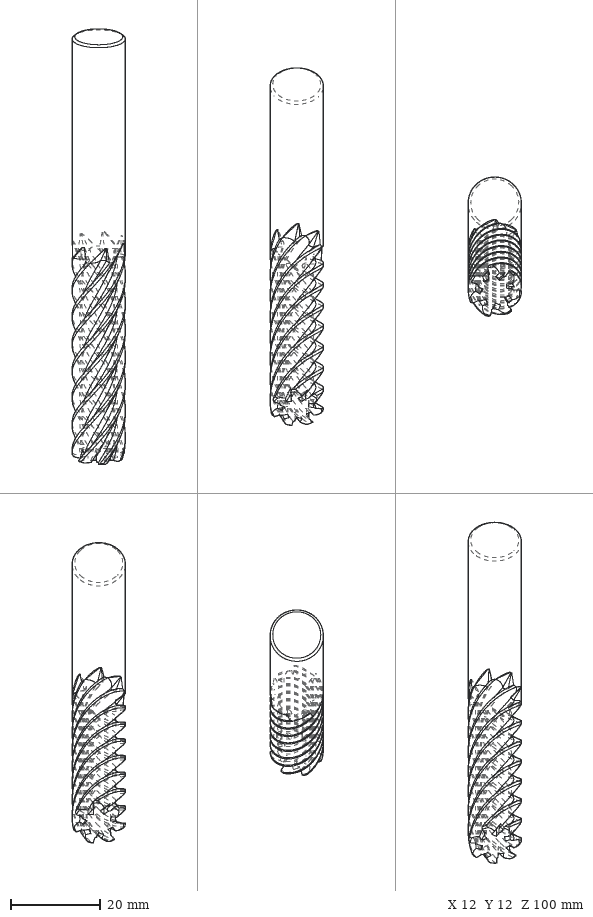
import cadquery as cq
import math


length = 100.0
diameter = 12.0
radius = diameter / 2
shank_chamfer_height = 0.5
shank_chamfer_width = 0.6

flute_length = 48.0
flute_count = 7
flute_pitch = 360 / flute_count
helix_angle = 40.0
lead = math.pi * diameter / math.tan(math.radians(helix_angle))
flute_twist = 360 * flute_length / lead
first_edge_angle = -25.0

land_width = 8.5
relief_mid_angle = 21.0
relief_mid_radius = 5.2
relief_end_angle = 34.0
core_radius = 3.8
rake_foot_angle = 51.0
rake_foot_radius = 4.3

runout_length = 3.5
runout_tip_lag = 6.0
runout_tip_scale = 0.1
runout_outer_radius = 1.2 * radius

gash_height = 2.4
gash_width = 1.2
gash_length = 3.4
gash_tilt = 10.0
corner_chamfer = 0.4


def polar(r, angle):
    turn = math.radians(angle)
    return (r * math.cos(turn), r * math.sin(turn))


def shrink(point, center, scale):
    return tuple(c + scale * (p - c) for p, c in zip(point, center))


def trace_flute(outline, edge_angle, center=(0, 0), scale=1):
    """Follow one flute from the heel of a land to the next cutting edge, scaled about a center."""

    def at(r, angle):
        return shrink(polar(r, edge_angle + angle), center, scale)

    floor_mid_angle = (relief_end_angle + rake_foot_angle) / 2
    outline = outline.threePointArc(at(relief_mid_radius, relief_mid_angle), at(core_radius, relief_end_angle))
    outline = outline.threePointArc(at(core_radius, floor_mid_angle), at(rake_foot_radius, rake_foot_angle))
    return outline.lineTo(*at(radius, flute_pitch))


def edge_angles(first):
    return [first + tooth * flute_pitch for tooth in range(flute_count)]


def fluted_bar():
    """Cutter section of lands and flutes, twisted into a right-hand helix."""
    outline = cq.Workplane("XY").moveTo(*polar(radius, first_edge_angle))
    for angle in edge_angles(first_edge_angle):
        land_middle = polar(radius, angle + land_width / 2)
        land_heel = polar(radius, angle + land_width)
        outline = outline.threePointArc(land_middle, land_heel)
        outline = trace_flute(outline, angle)
    return outline.close().twistExtrude(flute_length, flute_twist)


def end_gash(edge_angle):
    """Wedge that deepens a flute at the cutting end, with its upright wall at the cutting edge."""
    wedge = (
        cq.Workplane("YZ")
        .polyline([(0, 0), (0, gash_height), (-gash_width, 0)])
        .close()
        .extrude(-gash_length)
    )
    edge_x, edge_y = polar(radius, edge_angle)
    return wedge.rotate((0, 0, 0), (0, 0, 1), edge_angle + gash_tilt).translate((edge_x, edge_y, 0))


def corner_ring():
    """Ring that takes a 45 degree chamfer off the outer corner of the teeth."""
    ring_width = 2 * corner_chamfer
    inner = radius - corner_chamfer
    return (
        cq.Workplane("XZ")
        .polyline([(inner, 0), (inner + ring_width, 0), (inner + ring_width, ring_width)])
        .close()
        .revolve(360, (0, 0, 0), (0, 1, 0))
    )


def build_cutter():
    cutter = fluted_bar()
    for angle in edge_angles(first_edge_angle):
        cutter = cutter.cut(end_gash(angle))
    return cutter.cut(corner_ring())


def runout_section(edge_angle, height, scale):
    """Closed flute section at a height, scaled about the tip of the run-out."""
    tip = polar(radius, edge_angle + flute_pitch - runout_tip_lag)
    heel = shrink(polar(radius, edge_angle + land_width), tip, scale)
    outer_heel = shrink(polar(runout_outer_radius, edge_angle + land_width), tip, scale)
    outer_edge = shrink(polar(runout_outer_radius, edge_angle + flute_pitch), tip, scale)
    outline = cq.Workplane("XY").workplane(offset=height).moveTo(*heel)
    outline = trace_flute(outline, edge_angle, tip, scale)
    return outline.lineTo(*outer_edge).lineTo(*outer_heel).close().wires().val()


def flute_runout(edge_angle):
    """Tapered end of one flute, from its full section up to its tip."""
    full_section = runout_section(edge_angle, flute_length, 1)
    tip_section = runout_section(edge_angle, flute_length + runout_length, runout_tip_scale)
    return cq.Workplane(cq.Solid.makeLoft([full_section, tip_section], True))


def build_shank():
    shank = (
        cq.Workplane("XY")
        .workplane(offset=flute_length)
        .circle(radius)
        .extrude(length - flute_length)
        .faces(">Z")
        .chamfer(shank_chamfer_height, shank_chamfer_width)
    )
    for angle in edge_angles(first_edge_angle + flute_twist):
        shank = shank.cut(flute_runout(angle))
    return shank


cutter = build_cutter()
shank = build_shank()

result = cq.Compound.makeCompound([cutter.solids().val(), shank.solids().val()])